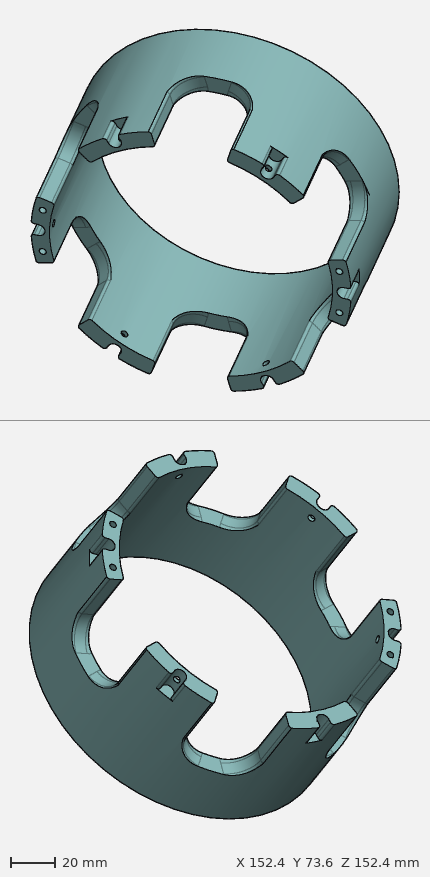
import cadquery as cq
import math

outer_radius = 76.2
wall = 8.8
height = 73.6
leg_count = 6
leg_length = 41.1
leg_half_angle = 15.4
leg_edge_radius = 1.5
window_corner_radius = 12.8

notch_width = 6.5
notch_depth = 6.7
notch_length = 12.6
notch_edge_radius = 1.5
radial_hole_diameter = 3.4
radial_hole_from_end = 6.5

axial_hole_diameter = 3.4
axial_hole_x = 70.5
axial_hole_spacing = 25.0

inner_radius = outer_radius - wall
leg_pitch = 360 / leg_count
window_top = -(height - leg_length)
leg_end = -height

edge_overshoot = 0.05


def around_axis(shape, angle):
    """Turn a shape from the +X direction about the ring's axis toward +Z."""
    return shape.rotate((0, 0, 0), (0, 1, 0), -angle)


def ring():
    """Plain tube whose back face lies on Y = 0."""
    return cq.Workplane("XZ").circle(outer_radius).circle(inner_radius).extrude(height)


def leg_core():
    """Wedge along +X whose sides run through the centres of the leg edge rounds."""
    apex = leg_edge_radius / math.sin(math.radians(leg_half_angle))
    reach = 2 * outer_radius
    half_width = (reach - apex) * math.tan(math.radians(leg_half_angle))
    return (
        cq.Workplane("XZ", origin=(0, window_top, 0))
        .polyline([(apex, 0), (reach, -half_width), (reach, half_width)])
        .close()
        .extrude(leg_length)
    )


def leg_side_section(centre_x):
    """Leg side flaring into the window top, for a side wall lying along +X.

    It is measured across the wall from the centre line of an edge round.
    """
    flat_end = leg_edge_radius + window_corner_radius
    arc_centre = window_top - window_corner_radius
    diagonal = window_corner_radius * math.sqrt(0.5)
    plane = cq.Plane(origin=(centre_x, 0, -leg_edge_radius), xDir=(0, 0, 1), normal=(-1, 0, 0))
    return (
        cq.Workplane(plane)
        .moveTo(0, leg_end)
        .lineTo(leg_edge_radius, leg_end)
        .lineTo(leg_edge_radius, arc_centre)
        .threePointArc((flat_end - diagonal, arc_centre + diagonal), (flat_end, window_top))
        .lineTo(0, window_top)
        .close()
    )


def leg_side():
    """Side of a leg: a straight stretch, then the same section turned round each edge."""
    outer_centre = outer_radius - leg_edge_radius + edge_overshoot
    inner_centre = inner_radius + leg_edge_radius - edge_overshoot
    outer_x = math.sqrt(outer_centre**2 - leg_edge_radius**2)
    inner_x = math.sqrt(inner_centre**2 - leg_edge_radius**2)
    straight = leg_side_section(inner_x).extrude(inner_x - outer_x)
    outer_turn = leg_side_section(outer_x).revolve(90, (0, 0), (0, 1))
    inner_turn = leg_side_section(inner_x).revolve(90, (0, 0), (0, -1))
    return straight.union(outer_turn).union(inner_turn)


def crown():
    """Ring with legs: a tube trimmed to a plain band and six flared legs."""
    band = cq.Workplane("XZ").circle(2 * outer_radius).extrude(height - leg_length)
    side = around_axis(leg_side(), leg_half_angle)
    leg = leg_core().union(side).union(side.mirror("XY"))
    tube = ring()
    body = tube.intersect(band)
    for index in range(leg_count):
        body = body.union(tube.intersect(around_axis(leg, index * leg_pitch)))
    return body


def notch_cutter():
    """Round-bottomed channel with a flared mouth, cut in from the outside of a leg."""
    half_width = notch_width / 2
    floor = outer_radius - notch_depth
    round_start = floor + half_width
    mouth_half_width = half_width + notch_edge_radius
    mouth = math.sqrt(outer_radius**2 - mouth_half_width**2)
    flare_start = mouth - notch_edge_radius
    diagonal = notch_edge_radius * math.sqrt(0.5)
    clear = outer_radius + notch_depth
    return (
        cq.Workplane("XZ", origin=(0, leg_end + notch_length, 0))
        .moveTo(clear, mouth_half_width)
        .lineTo(mouth, mouth_half_width)
        .threePointArc((flare_start + diagonal, mouth_half_width - diagonal), (flare_start, half_width))
        .lineTo(round_start, half_width)
        .threePointArc((floor, 0), (round_start, -half_width))
        .lineTo(flare_start, -half_width)
        .threePointArc((flare_start + diagonal, diagonal - mouth_half_width), (mouth, -mouth_half_width))
        .lineTo(clear, -mouth_half_width)
        .close()
        .extrude(notch_length)
    )


def radial_hole_cutter():
    """Hole through the floor of a notch."""
    return (
        cq.Workplane("YZ", origin=(inner_radius - wall, 0, 0))
        .center(leg_end + radial_hole_from_end, 0)
        .circle(radial_hole_diameter / 2)
        .extrude(2 * wall)
    )


def cut_notches(body):
    """Cut the notch and its hole in every leg."""
    for index in range(leg_count):
        for cutter in (notch_cutter(), radial_hole_cutter()):
            body = body.cut(around_axis(cutter, index * leg_pitch))
    return body


def cut_axial_holes(body):
    """Drill a pair of holes along Y beside the notches of the two legs on the X axis."""
    holes = (
        cq.Workplane("XZ")
        .rect(2 * axial_hole_x, axial_hole_spacing, forConstruction=True)
        .vertices()
        .circle(axial_hole_diameter / 2)
        .extrude(height)
    )
    return body.cut(holes)


body = crown()
body = cut_notches(body)
result = cut_axial_holes(body)